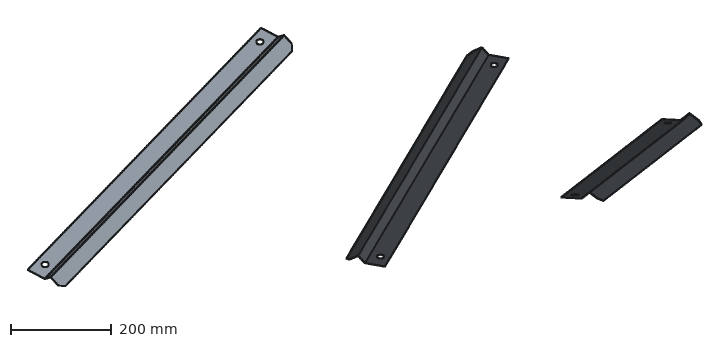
import cadquery as cq
import math

length = 798.0
width = 84.5
height = 21.0
thickness = 1.5
flange_width = 41.5
rise_angle = math.radians(45)
lip_angle = math.radians(34.5)
corner_cut = 11.0
hole_diameter = 14.0
hole_inset = 20.0
hole_end_distance = 32.0

tip_z = thickness * math.cos(lip_angle)
ridge_x = width - (height - tip_z) / math.tan(lip_angle)
flange_top = height - (ridge_x - flange_width) * math.tan(rise_angle)


def point_below_bend(x, z, angle_before, angle_after):
    """Lower-face corner under a bend, where the two offset faces meet."""
    middle_angle = (angle_before + angle_after) / 2
    reach = thickness / math.cos((angle_after - angle_before) / 2)
    return (x + reach * math.sin(middle_angle), z - reach * math.cos(middle_angle))


def make_strip():
    """Bent sheet profile extended along Y, centred on Y = 0."""
    outline = [
        (0, flange_top),
        (flange_width, flange_top),
        (ridge_x, height),
        (width, tip_z),
        (width - thickness * math.sin(lip_angle), tip_z - thickness * math.cos(lip_angle)),
        point_below_bend(ridge_x, height, rise_angle, -lip_angle),
        point_below_bend(flange_width, flange_top, 0, rise_angle),
        (0, flange_top - thickness),
    ]
    return cq.Workplane("XZ").polyline(outline).close().extrude(length / 2, both=True)


def make_corner_cutter(side):
    """Prism square to the lip that removes its corner at one end (side = -1 or 1)."""
    lip_plane = cq.Plane(
        origin=(width, side * length / 2, tip_z),
        xDir=(math.cos(lip_angle), 0, -math.sin(lip_angle)),
        normal=(math.sin(lip_angle), 0, math.cos(lip_angle)),
    )
    triangle = [(-corner_cut, 0), (0, 0), (0, -side * corner_cut)]
    return cq.Workplane(lip_plane).polyline(triangle).close().extrude(2 * thickness, both=True)


def make_hole_cutters():
    """Mounting holes through the flange, one near each end."""
    hole_y = length / 2 - hole_end_distance
    centres = [(hole_inset, -hole_y), (hole_inset, hole_y)]
    return cq.Workplane("XY").pushPoints(centres).circle(hole_diameter / 2).extrude(height)


result = make_strip().cut(make_hole_cutters())
for end_side in (-1, 1):
    result = result.cut(make_corner_cutter(end_side))